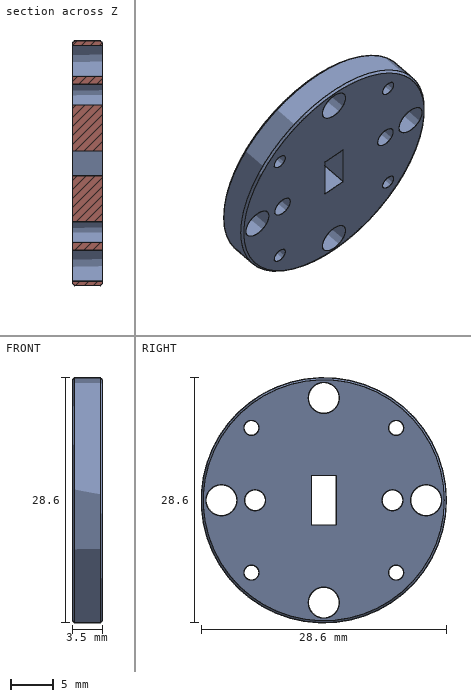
import cadquery as cq

flange_diameter = 28.57
flange_thickness = 3.5
rim_chamfer = 0.25

opening_width = 2.85
opening_height = 5.7

bolt_circle_radius = 11.9
large_hole_diameter = 3.57
small_hole_diameter = 1.7

dowel_hole_diameter = 2.4
dowel_hole_offset = 8.0


def ring_of_holes(start_angle, count, radius, diameter):
    """Cylinders for evenly spaced through holes around the flange axis."""
    return (
        cq.Workplane("YZ")
        .workplane(offset=-flange_thickness / 2)
        .polarArray(radius, start_angle, 360, count)
        .circle(diameter / 2)
        .extrude(flange_thickness)
    )


disc = (
    cq.Workplane("YZ")
    .workplane(offset=-flange_thickness / 2)
    .circle(flange_diameter / 2)
    .extrude(flange_thickness)
    .faces("<X or >X")
    .edges()
    .chamfer(rim_chamfer)
)

opening = cq.Workplane("YZ").box(opening_width, opening_height, flange_thickness)

large_holes = ring_of_holes(0, 4, bolt_circle_radius, large_hole_diameter)
small_holes = ring_of_holes(45, 4, bolt_circle_radius, small_hole_diameter)
dowel_holes = ring_of_holes(0, 2, dowel_hole_offset, dowel_hole_diameter)

result = disc.cut(opening).cut(large_holes).cut(small_holes).cut(dowel_holes)